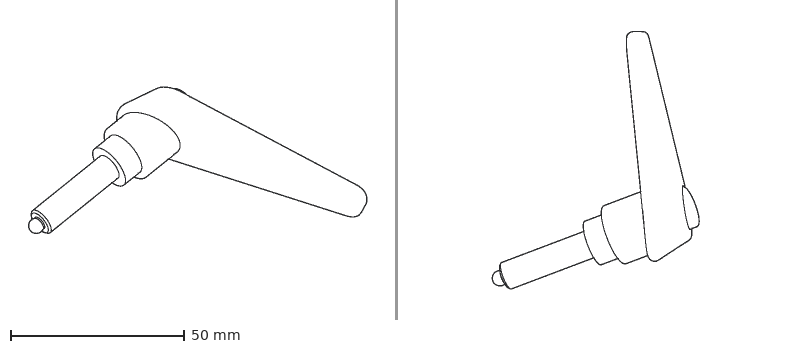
import cadquery as cq
import math


draft_angle = 12.0
cone_radius = 11.285
side_convergence = 1.1
underside_height = 16.7
underside_angle = 20.1
top_height = 29.8
top_angle = 14.45
end_x = 62.03
end_y = 40.9
end_angle = 18.0
tip_corner_radius = 4.15
top_rim_radius = 1.5
underside_rim_radius = 2.0
blank_bottom = 10.0
blank_height = 40.0
blank_length = 80.0

hub_radius = 9.0
hub_bottom = 6.6
hub_top = 22.0
hub_edge_radius = 0.5

core_radius = 6.25
core_top = 31.1
core_edge_radius = 0.5
collar_radius = 6.75
rod_radius = 4.1
rod_length = 28.2
rod_chamfer = 0.6
neck_radius = 2.05
ball_radius = 2.25
screw_length = 31.87


def upward_plane(height):
    return cq.Plane(origin=(0, height, 0), xDir=(1, 0, 0), normal=(0, 1, 0))


def make_blank():
    """Drafted teardrop: a cone around the screw axis with two nearly parallel sides tangent to it."""
    radius = cone_radius + (underside_height - blank_bottom) * math.tan(math.radians(draft_angle))
    turn = math.radians(side_convergence)
    tangent_x = radius * math.sin(turn)
    tangent_z = radius * math.cos(turn)
    far_z = tangent_z - (blank_length - tangent_x) * math.tan(turn)
    return (
        cq.Workplane(upward_plane(blank_bottom))
        .moveTo(tangent_x, tangent_z)
        .threePointArc((-radius, 0), (tangent_x, -tangent_z))
        .lineTo(blank_length, -far_z)
        .lineTo(blank_length, far_z)
        .close()
        .extrude(blank_height, taper=draft_angle)
    )


def make_arm_profile():
    """Prism bounded by the underside, the end face and the top of the arm."""
    underside_slope = math.tan(math.radians(underside_angle))
    top_slope = math.tan(math.radians(top_angle))
    end_slope = math.tan(math.radians(end_angle))
    end_foot = end_x + end_y * end_slope

    def end_corner(height, slope):
        x = (end_foot - end_slope * height) / (1 + end_slope * slope)
        return x, height + slope * x

    left = -2 * cone_radius
    return (
        cq.Workplane("XY")
        .moveTo(left, underside_height + underside_slope * left)
        .lineTo(*end_corner(underside_height, underside_slope))
        .lineTo(*end_corner(top_height, top_slope))
        .lineTo(left, top_height + top_slope * left)
        .close()
        .extrude(2 * cone_radius, both=True)
    )


def make_arm():
    steep = math.cos(math.radians(30))
    arm = make_blank().intersect(make_arm_profile())
    side_edges = arm.faces(">X").edges().filter(lambda edge: abs(edge.tangentAt(0.5).y) > steep)
    arm = side_edges.fillet(tip_corner_radius)
    top_rim = arm.faces("%PLANE").filter(lambda face: face.normalAt().y > steep).edges()
    arm = top_rim.fillet(top_rim_radius)
    underside_rim = arm.faces("%PLANE").filter(lambda face: face.normalAt().y < -steep).edges()
    return underside_rim.fillet(underside_rim_radius)


def make_lever():
    hub = cq.Workplane(upward_plane(hub_bottom)).circle(hub_radius).extrude(hub_top - hub_bottom)
    hub = hub.faces("<Y").edges().fillet(hub_edge_radius)
    bore = cq.Workplane(upward_plane(hub_bottom)).circle(core_radius).extrude(blank_height)
    return make_arm().union(hub).cut(bore)


def make_screw():
    """Turned insert: button and core, collar, rod and ball end. The half profile lies on the -X side."""
    ball_center = -screw_length + ball_radius
    neck_bottom = ball_center + math.sqrt(ball_radius**2 - neck_radius**2)
    core_corner = core_edge_radius * (1 - math.sqrt(0.5))
    return (
        cq.Workplane("XY")
        .moveTo(0, core_top)
        .lineTo(-core_radius + core_edge_radius, core_top)
        .threePointArc(
            (-core_radius + core_corner, core_top - core_corner),
            (-core_radius, core_top - core_edge_radius),
        )
        .lineTo(-core_radius, hub_bottom)
        .lineTo(-collar_radius, hub_bottom)
        .lineTo(-collar_radius, 0)
        .lineTo(-rod_radius, 0)
        .lineTo(-rod_radius, -rod_length + rod_chamfer)
        .lineTo(-rod_radius + rod_chamfer, -rod_length)
        .lineTo(-neck_radius, -rod_length)
        .lineTo(-neck_radius, neck_bottom)
        .threePointArc((-ball_radius, ball_center), (0, -screw_length))
        .close()
        .revolve(360, (0, 0, 0), (0, 1, 0))
    )


lever = make_lever()
screw = make_screw()

result = cq.Compound.makeCompound([lever.val(), screw.val()])